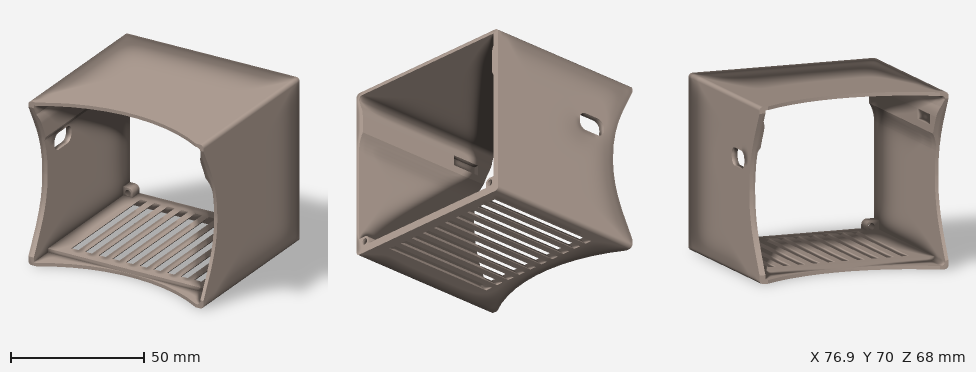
import cadquery as cq
import math

width = 76.85
depth = 70.0
height = 68.0

wall = 1.4
left_wall = 2.4
corner_radius = 1.5

scoop_depth = 10.1
top_scoop_half_width = 35.0
side_scoop_bottom = 3.4
side_scoop_top = 65.4
side_scoop_flat_bottom = 33.75
side_scoop_flat_top = 34.4
side_scoop_end_slope = 0.5

rail_reach = 3.4
rail_foot = 43.9
rail_lower_edge = 50.8
rail_upper_edge = 57.7
rail_slope_start = 62.0
rail_slope_reach = 2.4
rail_top = 65.0

pocket_bottom = 53.6
pocket_front = 10.0
pocket_length = 12.4

window_front = 15.0
window_length = 12.4
window_bottom = 41.0
window_height = 7.0
window_radius = 3.0

floor_top = 3.05
floor_front = 10.2
vent_count = 10
vent_pitch = 6.0
vent_width = 3.0
vent_inset = 4.8
vent_angle = 45.0

boss_inset = 4.5
boss_height = 4.5
boss_radius = 2.1
boss_corner_radius = 2.0
boss_length = 5.0
hole_diameter = 2.5

half_width = width / 2
inner_left = -half_width + left_wall
inner_right = half_width - wall


def make_block(x_start, x_end, y_start, y_end, z_start, z_end):
    """Box between two opposite corners."""
    size = (x_end - x_start, y_end - y_start, z_end - z_start)
    return cq.Workplane("XY").box(*size, centered=False).translate((x_start, y_start, z_start))


def extrude_back(profile, start, end):
    """Extrude an XZ profile along +Y from start to end."""
    return profile.extrude(start - end).translate((0, start, 0))


def make_cavity():
    """Sleeve opening, rounded along the right wall and square along the left."""
    cavity = make_block(inner_left, inner_right, 0, depth, wall, height - wall)
    return cavity.edges("|Y and >X").fillet(corner_radius)


def make_sleeve():
    sleeve = make_block(-half_width, half_width, 0, depth, 0, height)
    return sleeve.edges("|Y").fillet(corner_radius).cut(make_cavity())


def make_rail(side):
    """Rail on the wall at the given side: -1 for left, +1 for right.

    The profile overlaps the wall and its concave lower flank leaves the wall tangentially.
    """
    rail_root = wall / 2
    rail_root_bottom = rail_foot - rail_root

    def point(reach, z):
        return (side * (half_width - reach), z)

    profile = (
        cq.Workplane("XZ")
        .moveTo(*point(rail_root, rail_root_bottom))
        .lineTo(*point(wall, rail_root_bottom))
        .lineTo(*point(wall, rail_foot))
        .tangentArcPoint(point(rail_reach, rail_lower_edge), relative=False)
        .lineTo(*point(rail_reach, rail_upper_edge))
        .tangentArcPoint(point(rail_slope_reach, rail_slope_start), relative=False)
        .lineTo(*point(wall, rail_top))
        .lineTo(*point(rail_root, rail_top))
        .close()
    )
    return extrude_back(profile, 0, depth)


def make_pocket():
    return make_block(
        half_width - rail_reach, inner_right,
        pocket_front, pocket_front + pocket_length,
        pocket_bottom, rail_upper_edge,
    )


def make_window():
    window = make_block(
        -half_width, inner_left,
        window_front, window_front + window_length,
        window_bottom, window_bottom + window_height,
    )
    return window.edges("|X").fillet(window_radius)


def make_floor():
    floor = make_block(inner_left, inner_right, floor_front, depth, wall, floor_top)
    return floor.intersect(make_cavity())


def make_vents():
    """Slots through the floor, leaning towards -X as they go down."""
    lean = floor_top / math.tan(math.radians(vent_angle))
    vents = cq.Workplane("XZ")
    first_centre = -vent_pitch * (vent_count - 1) / 2
    for index in range(vent_count):
        left = first_centre + index * vent_pitch - vent_width / 2
        right = left + vent_width
        vents = vents.polyline(
            [(left, floor_top), (right, floor_top), (right - lean, 0), (left - lean, 0)]
        ).close()
    return extrude_back(vents, floor_front + vent_inset, depth - vent_inset)


def make_boss(side):
    """Screw boss in a lower rear corner, joined to the wall and the floor."""
    centre = side * (half_width - boss_inset)
    start = depth - boss_length
    boss_top = boss_height + boss_radius
    x_start, x_end = sorted((centre - side * boss_radius, side * (half_width - wall)))
    boss = make_block(x_start, x_end, start, depth, wall, boss_top)
    inner_edge = "<X" if side > 0 else ">X"
    return boss.edges("|Y and >Z and " + inner_edge).fillet(boss_corner_radius)


def make_boss_hole(side):
    profile = (
        cq.Workplane("XZ")
        .center(side * (half_width - boss_inset), boss_height)
        .circle(hole_diameter / 2)
    )
    return extrude_back(profile, depth - boss_length, depth)


def make_top_scoop():
    """Circular scoop across the front of the top and bottom walls."""
    return (
        cq.Workplane("XY")
        .moveTo(-top_scoop_half_width, 0)
        .threePointArc((0, scoop_depth), (top_scoop_half_width, 0))
        .close()
        .extrude(height)
    )


def make_side_scoop():
    """Scoop across the front of the side walls: two curves joined by a short flat."""
    return (
        cq.Workplane("YZ", origin=(-half_width, 0, 0))
        .moveTo(0, side_scoop_bottom)
        .spline(
            [(scoop_depth, side_scoop_flat_bottom)],
            tangents=[(side_scoop_end_slope, 1), (0, 1)],
            includeCurrent=True,
        )
        .lineTo(scoop_depth, side_scoop_flat_top)
        .spline(
            [(0, side_scoop_top)],
            tangents=[(0, 1), (-side_scoop_end_slope, 1)],
            includeCurrent=True,
        )
        .close()
        .extrude(width)
    )


result = make_sleeve().union(make_floor())
for side in (-1, 1):
    result = result.union(make_rail(side)).union(make_boss(side))
for side in (-1, 1):
    result = result.cut(make_boss_hole(side))
for cutter in (make_pocket(), make_window(), make_vents(), make_top_scoop(), make_side_scoop()):
    result = result.cut(cutter)